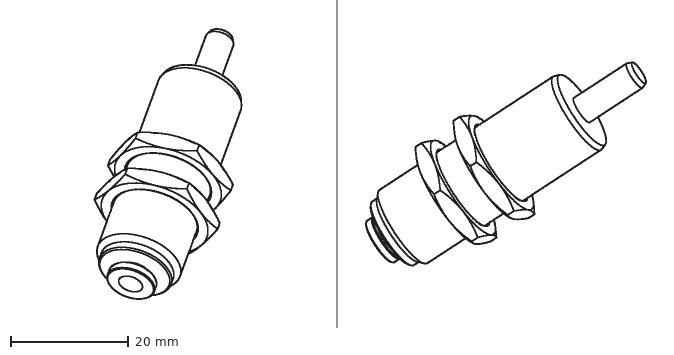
import cadquery as cq
import math

total_length = 54.5

collar_diameter = 8.5
collar_length = 1.45
collar_chamfer = 0.15
neck_diameter = 5.5
nose_start = 2.5
nose_diameter = 13.0
nose_chamfer = 0.25
shoulder_start = 4.0
barrel_diameter = 15.0
barrel_end = 42.5
barrel_end_diameter = 14.3
barrel_end_taper = 1.0
port_diameter = 4.25
port_depth = 9.8

rod_diameter = 5.0
rod_tip_diameter = 4.25
rod_tip_taper = 0.85
rod_seat_depth = 9.8

nut_width_across_flats = 19.0
nut_thickness = 3.0
nut_bore_opening = 15.55
nut_chamfer_angle = 30.0
nut_placements = [(14.5, 0.0), (22.5, 3.3)]


def revolve_about_y(points):
    """Turn a closed (radius, y) outline about the Y axis."""
    return cq.Workplane("XY").polyline(points).close().revolve(360, (0, 0, 0), (0, 1, 0))


def cylinder_along_y(diameter, start, length):
    """Solid cylinder on the Y axis, running from start toward +Y."""
    return cq.Workplane("XZ", origin=(0, start, 0)).circle(diameter / 2).extrude(-length)


def make_housing():
    collar_radius = collar_diameter / 2
    neck_radius = neck_diameter / 2
    nose_radius = nose_diameter / 2
    barrel_radius = barrel_diameter / 2
    shoulder_end = shoulder_start + barrel_radius - nose_radius
    body = revolve_about_y([
        (0, 0),
        (collar_radius - collar_chamfer, 0),
        (collar_radius, collar_chamfer),
        (collar_radius, collar_length - collar_chamfer),
        (collar_radius - collar_chamfer, collar_length),
        (neck_radius, collar_length),
        (neck_radius, nose_start),
        (nose_radius - nose_chamfer, nose_start),
        (nose_radius, nose_start + nose_chamfer),
        (nose_radius, shoulder_start),
        (barrel_radius, shoulder_end),
        (barrel_radius, barrel_end - barrel_end_taper),
        (barrel_end_diameter / 2, barrel_end),
        (0, barrel_end),
    ])
    port = cylinder_along_y(port_diameter, 0, port_depth)
    rod_seat = cylinder_along_y(rod_diameter, barrel_end - rod_seat_depth, rod_seat_depth)
    return body.cut(port).cut(rod_seat).solids()


def make_rod():
    return revolve_about_y([
        (0, barrel_end - rod_seat_depth),
        (rod_diameter / 2, barrel_end - rod_seat_depth),
        (rod_diameter / 2, total_length - rod_tip_taper),
        (rod_tip_diameter / 2, total_length),
        (0, total_length),
    ])


def make_nut(front, rotation):
    flat_radius = nut_width_across_flats / 2
    corner_radius = flat_radius / math.cos(math.radians(30))
    back = front + nut_thickness
    hexagon = (
        cq.Workplane("XZ", origin=(0, front, 0))
        .polygon(6, 2 * corner_radius)
        .extrude(-nut_thickness)
        .rotate((0, 0, 0), (0, 1, 0), -rotation)
    )

    chamfer_drop = (corner_radius - flat_radius) * math.tan(math.radians(nut_chamfer_angle))
    corner_envelope = revolve_about_y([
        (0, front),
        (flat_radius, front),
        (corner_radius, front + chamfer_drop),
        (corner_radius, back - chamfer_drop),
        (flat_radius, back),
        (0, back),
    ])

    barrel_radius = barrel_diameter / 2
    opening_radius = nut_bore_opening / 2
    countersink = opening_radius - barrel_radius
    bore = revolve_about_y([
        (0, front),
        (opening_radius, front),
        (barrel_radius, front + countersink),
        (barrel_radius, back - countersink),
        (opening_radius, back),
        (0, back),
    ])
    return hexagon.intersect(corner_envelope).cut(bore).solids()


housing = make_housing()
rod = make_rod()
nuts = [make_nut(front, rotation) for front, rotation in nut_placements]

result = cq.Compound.makeCompound([housing.val(), rod.val(), *[nut.val() for nut in nuts]])